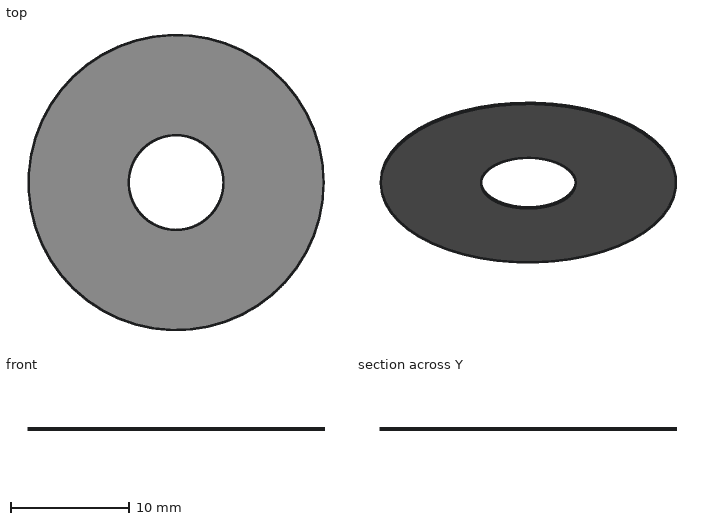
import cadquery as cq

outer_diameter = 25.0
hole_diameter = 8.0
thickness = 0.15

result = (
    cq.Workplane("XY")
    .circle(outer_diameter / 2)
    .circle(hole_diameter / 2)
    .extrude(thickness)
)